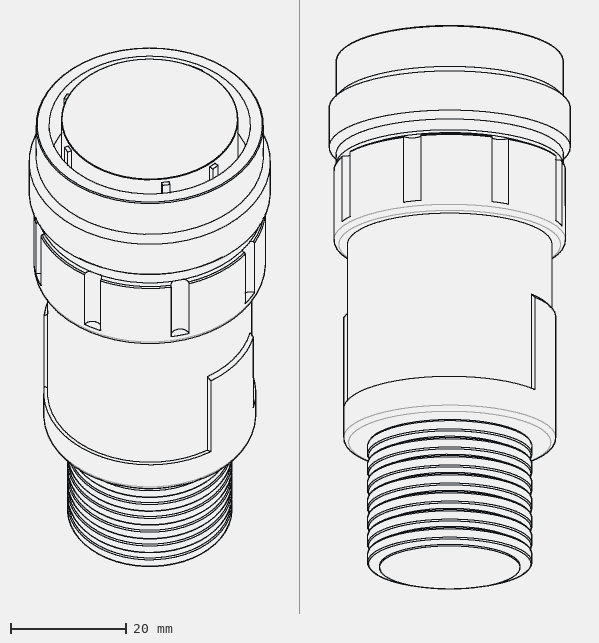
import cadquery as cq

total_height = 94.1

thread_radius = 14.3
thread_root_radius = 12.2
thread_shoulder_radius = 14.1
thread_pitch = 3.3
thread_count = 7
first_thread_height = 1.7
crest_half_width = 0.75
shoulder_half_width = 1.0
root_half_width = 1.4

sleeve_radius = 18.4
sleeve_bottom = 22.9
sleeve_top = 29.0
sleeve_edge_fillet = 0.8
tab_top = 46.5
tab_slope_height = 0.7
tab_front = -7.8
tab_back = 5.55

body_radius = 17.8
nut_radius = 20.1
nut_bottom = 59.0
nut_top = 72.8
nut_top_chamfer = 0.235
nut_bottom_fillet = 0.8
groove_count = 8
groove_radius = 1.6
groove_bottom = 60.8

neck_radius = 18.2
collar_radius = 19.8
collar_bottom = 73.6
collar_top = 92.7
collar_edge_chamfer = 0.2
band_radius = 21.0
band_bevel = band_radius - collar_radius
band_bottom = 75.6
band_top = 85.2

socket_radius = 17.5
socket_floor = 82.8
core_radius = 15.3
core_edge_chamfer = 0.1
key_top = 93.3
key_tip_radius = 16.1
main_key_angle = 90
main_key_width = 2.7
small_key_angles = (185, 235, 310, 345)
small_key_width = 1.3


def cylinder(radius, bottom, top):
    return cq.Workplane("XY").workplane(offset=bottom).circle(radius).extrude(top - bottom)


def revolved(outline):
    """Solid of revolution about Z from (radius, height) points."""
    return cq.Workplane("XZ").polyline(outline).close().revolve(360, (0, 0), (0, 1))


def thread_ring(height):
    return revolved([
        (0, height - root_half_width),
        (thread_root_radius, height - root_half_width),
        (thread_shoulder_radius, height - shoulder_half_width),
        (thread_radius, height - crest_half_width),
        (thread_radius, height + crest_half_width),
        (thread_shoulder_radius, height + shoulder_half_width),
        (thread_root_radius, height + root_half_width),
        (0, height + root_half_width),
    ])


def tail():
    """Core of the tail with evenly spaced bevelled rings."""
    solid = cylinder(thread_root_radius, 0, sleeve_bottom)
    for index in range(thread_count):
        solid = solid.union(thread_ring(first_thread_height + index * thread_pitch))
    return solid


def sleeve():
    """Sleeve cut down to a low ring, except for a tab on each X side."""
    full = revolved([
        (0, sleeve_bottom),
        (sleeve_radius, sleeve_bottom),
        (sleeve_radius, tab_top - tab_slope_height),
        (body_radius, tab_top),
        (0, tab_top),
    ])
    full = full.faces("<Z").edges().fillet(sleeve_edge_fillet)
    ring_zone = cylinder(band_radius, sleeve_bottom, sleeve_top)
    tab_zone = (
        cq.Workplane("XY", origin=(0, (tab_front + tab_back) / 2, sleeve_top))
        .rect(2 * band_radius, tab_back - tab_front)
        .extrude(tab_top - sleeve_top)
    )
    return full.intersect(ring_zone.union(tab_zone))


def nut():
    """Grip nut with half-round grooves open at its top."""
    solid = cylinder(nut_radius, nut_bottom, nut_top)
    solid = solid.faces(">Z").chamfer(nut_top_chamfer)
    solid = solid.faces("<Z").edges().fillet(nut_bottom_fillet)
    grooves = (
        cq.Workplane("XY", origin=(0, 0, groove_bottom))
        .polarArray(nut_radius, 0, 360, groove_count)
        .circle(groove_radius)
        .extrude(nut_top - groove_bottom)
    )
    return solid.cut(grooves)


def collar():
    """Coupling collar with a bevelled band around it and a socket in its top."""
    solid = revolved([
        (0, collar_bottom),
        (collar_radius, collar_bottom),
        (collar_radius, band_bottom),
        (band_radius, band_bottom + band_bevel),
        (band_radius, band_top - band_bevel),
        (collar_radius, band_top),
        (collar_radius, collar_top - collar_edge_chamfer),
        (collar_radius - collar_edge_chamfer, collar_top),
        (0, collar_top),
    ])
    return solid.cut(cylinder(socket_radius, socket_floor, collar_top))


def key(angle, width):
    """Axial rib on the core, pointing outward at the given angle from +X."""
    return (
        cq.Workplane("XY", origin=(0, 0, socket_floor))
        .center(key_tip_radius / 2, 0)
        .rect(key_tip_radius, width)
        .extrude(key_top - socket_floor)
        .rotate((0, 0, 0), (0, 0, 1), angle)
    )


def core():
    solid = cylinder(core_radius, socket_floor, total_height)
    solid = solid.faces(">Z").chamfer(core_edge_chamfer)
    solid = solid.union(key(main_key_angle, main_key_width))
    for angle in small_key_angles:
        solid = solid.union(key(angle, small_key_width))
    return solid


body = cylinder(body_radius, sleeve_top, nut_bottom)
neck = cylinder(neck_radius, nut_top, collar_bottom)

result = tail().union(sleeve()).union(body).union(nut()).union(neck).union(collar()).union(core())